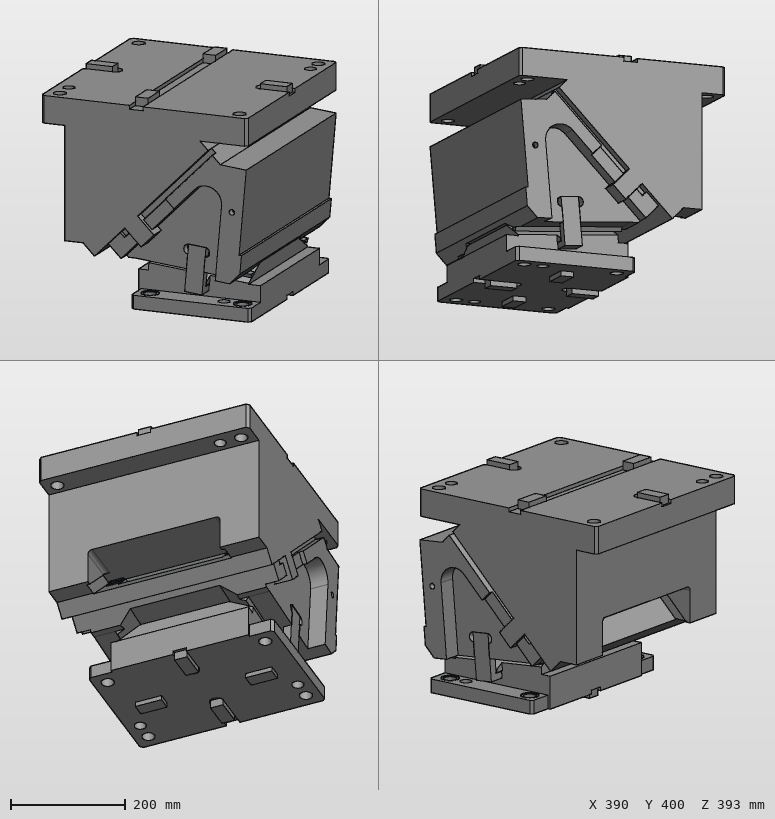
import cadquery as cq
import math


HALF_WIDTH = 200.0
FAR = 600.0

KEY_LENGTH = 50.0
KEY_WIDTH = 24.0
KEY_RISE = 9.0
SLOT_WIDTH = 25.5
SLOT_DEPTH = 7.0
CORNER_CHAMFER = 5.0
SCREW_HOLE = 23.0
DOWEL_HOLE = 21.0

HOLDER_TOP = 375.0
PLATE_THICKNESS = 50.0
PLATE_BOTTOM = HOLDER_TOP - PLATE_THICKNESS
PLATE_X_MIN = -180.0
PLATE_X_MAX = 210.0
PLATE_HOLE_INSET = 25.0
DOWEL_PITCHES = (40.0, 35.0)
END_KEY_INSET = 5.0
SIDE_KEY_INSET = 25.0
BLOCK_X_MIN = -135.5
BLOCK_BOTTOM = 116.5
WINDOW_HALF_WIDTH = 125.5
WINDOW_TOP = 183.5
WINDOW_CORNER = 8.0
WINDOW_WALL = 29.2
UNDERCUT_HEIGHT = 20.4
UNDERCUT_DEPTH = 5.6
RECESS_HALF_WIDTH = 98.5
RECESS_DEPTH = 13.0
RECESS_BOTTOM = 150.0
RECESS_TOP = 183.5
STEP_RISE = 2.0
STEP_INSET = 1.6
STEP_BOTTOMS = (160.0, 168.0)

HOOK_X = -21.8
HOOK_Z = 152.1
NOSE_START = -81.0
SLIDE_END = 223.0
HOOK_LENGTH = 34.4
HOOK_DEPTH = 43.7

SLIDER_START = -48.7
PAD_START = -16.5
PAD_THICKNESS = 11.0
PAD_HALF_WIDTH = 184.0
RAIL_DEPTH = 34.0
RAIL_END = 97.7
RAIL_HALF_WIDTH = 192.0
POCKET_FLOOR = 167.0
POCKET_RADIUS = 30.0
SIDE_HOLE = 10.0
SIDE_HOLE_DEPTH = 15.0

TILT = math.radians(5)
TILT_Z = 88.5
SLIDER_END_DEPTH = 33.0
SLIDER_U_MAX = 190.5
SLIDER_TOP_W = 211.0
TOE_U = 195.0
TOE_TOP_W = 55.0
TOE_BOTTOM_W = 21.5
CHAMFER_U = 177.5
POCKET_WALL_U = 150.0
SIDE_HOLE_U = 170.3
SIDE_HOLE_W = 129.5

RIDGE_SLOPE = math.tan(math.radians(30))
RIDGE_HALF_WIDTH = 131.0
RIDGE_TOP_HALF_WIDTH = 85.0
RIDGE_EDGE_W = -15.5
RIDGE_ROOT_W = -40.0
RIDGE_U_MIN = -4.0
RIDGE_U_MAX = 185.5
LINING_U_MIN = -15.0
LINING_U_MAX = 187.0
LINING_OUTER = 127.0
LINING_TIP = 122.5
RIDGE_CLEARANCE = 3.0

CLAMP_U = 97.5
CLAMP_WIDTH = 33.0
CLAMP_TOP_W = 45.0
CLAMP_BOTTOM_W = -42.0
CLAMP_OUTER = 166.0
CLAMP_THICKNESS = 15.0
FOOT_INNER = 135.5
FOOT_TOP_W = -30.0
CLAMP_SLOT_LENGTH = 49.0
CLAMP_SLOT_HEIGHT = 18.0
LUG_OUTER = 146.0
LUG_LENGTH = 30.0

BASE_X_MIN = -25.0
BASE_X_MAX = 206.0
BASE_LEFT_Z = 60.0
BASE_RIGHT_Z = 55.0
FLANGE_X_MIN = -20.0
FLANGE_HALF_WIDTH = 176.0
FLANGE_THICKNESS = 25.0
FLANGE_HOLE_Y = 150.0
FLANGE_SCREW_X = (5.0, 180.0)
FLANGE_DOWEL_X = 145.0
SPOTFACE = 32.0
SPOTFACE_DEPTH = 1.5
BASE_KEY_X = 90.0
BASE_END_KEYS_X = (5.0, 160.0)
BASE_SIDE_KEY_Y = 105.0

SLIDE_FRAME = cq.Plane(origin=(HOOK_X, 0, HOOK_Z), xDir=(1, 0, 1), normal=(0, -1, 0))
TILT_FRAME = cq.Plane(
    origin=(0, 0, TILT_Z), xDir=(math.cos(TILT), 0, -math.sin(TILT)), normal=(0, -1, 0)
)
RIDGE_FRAME = cq.Plane(
    origin=(0, 0, TILT_Z), xDir=(0, 1, 0), normal=(math.cos(TILT), 0, -math.sin(TILT))
)


def slide_point(along, depth):
    """World (x, z) of a point in the slide frame."""
    point = SLIDE_FRAME.toWorldCoords((along, -depth))
    return point.x, point.z


def tilt_point(u, w):
    """World (x, z) of a point in the tilted frame."""
    point = TILT_FRAME.toWorldCoords((u, w))
    return point.x, point.z


def frame_block(frame, x_range, y_range, width_range):
    """Block in a frame whose normal is -Y, spanning the given world Y range."""
    depth = width_range[1] - width_range[0]
    return (
        cq.Workplane(frame)
        .workplane(offset=-width_range[1])
        .moveTo(sum(x_range) / 2, sum(y_range) / 2)
        .rect(x_range[1] - x_range[0], y_range[1] - y_range[0])
        .extrude(depth)
    )


def slide_block(along_range, depth_range, width_range):
    return frame_block(SLIDE_FRAME, along_range, (-depth_range[1], -depth_range[0]), width_range)


def tilt_block(u_range, w_range, width_range):
    return frame_block(TILT_FRAME, u_range, w_range, width_range)


def symmetric(half_width):
    return (-half_width, half_width)


def both_sides(solid):
    """The solid together with its mirror image across Y = 0."""
    return solid.union(solid.mirror("XZ"))


def side_prism(points, half_width):
    """World XZ outline extruded equally to both sides of Y = 0."""
    return cq.Workplane("XZ").polyline(points).close().extrude(half_width, both=True)


def mounting_key(x, y, face_z, direction, along_y):
    """Key rising out of a mounting face; direction is +1 upwards, -1 downwards."""
    key = (
        cq.Workplane("XY")
        .rect(KEY_LENGTH, KEY_WIDTH)
        .extrude(KEY_RISE + SLOT_DEPTH)
        .translate((0, 0, -SLOT_DEPTH))
    )
    if along_y:
        key = key.rotate((0, 0, 0), (0, 0, 1), 90)
    if direction < 0:
        key = key.mirror("XY")
    return key.translate((x, y, face_z))


def end_slot(round_x, edge_x, bottom_z):
    """Key slot along X, rounded at round_x and open past edge_x."""
    length = abs(edge_x - round_x)
    run = (
        cq.Workplane("XY")
        .box(length, SLOT_WIDTH, SLOT_DEPTH, centered=(True, True, False))
        .translate(((round_x + edge_x) / 2, 0, bottom_z))
    )
    end = cq.Workplane("XY", origin=(round_x, 0, bottom_z)).circle(SLOT_WIDTH / 2).extrude(SLOT_DEPTH)
    return run.union(end)


def holes_down(points, diameter, top_z, depth):
    return (
        cq.Workplane("XY", origin=(0, 0, top_z)).pushPoints(points).circle(diameter / 2).extrude(-depth)
    )




def holder_plate():
    length = PLATE_X_MAX - PLATE_X_MIN
    return (
        cq.Workplane("XY")
        .box(length, 2 * HALF_WIDTH, PLATE_THICKNESS, centered=(False, True, False))
        .edges("|Z")
        .chamfer(CORNER_CHAMFER)
        .translate((PLATE_X_MIN, 0, PLATE_BOTTOM))
    )


def holder_block():
    nose_x, nose_z = slide_point(NOSE_START, 0)
    end_x, end_z = slide_point(SLIDE_END, 0)
    outline = [
        (BLOCK_X_MIN, PLATE_BOTTOM),
        (BLOCK_X_MIN, BLOCK_BOTTOM),
        (nose_x - (BLOCK_BOTTOM - nose_z), BLOCK_BOTTOM),
        (nose_x, nose_z),
        (end_x, end_z),
        (end_x - (PLATE_BOTTOM - end_z), PLATE_BOTTOM),
    ]
    return side_prism(outline, HALF_WIDTH)


def hook():
    """Hook standing out of the slide face, across the full width."""
    return slide_block((0, HOOK_LENGTH), (0, HOOK_DEPTH), symmetric(HALF_WIDTH))


def holder_window():
    """Recess from the left face to a sloping floor parallel to the slide plane."""
    opening = (
        cq.Workplane("YZ", origin=(BLOCK_X_MIN, 0, 0))
        .moveTo(0, (BLOCK_BOTTOM + WINDOW_TOP) / 2)
        .rect(2 * WINDOW_HALF_WIDTH, WINDOW_TOP - BLOCK_BOTTOM)
        .extrude(FAR)
        .edges("|X and >Z")
        .fillet(WINDOW_CORNER)
    )
    above_floor = slide_block(symmetric(FAR), (-FAR, -WINDOW_WALL), symmetric(HALF_WIDTH))
    return opening.intersect(above_floor)


def along_at_height(z, depth):
    """Slope position of the point at height z on a plane parallel to the slide plane."""
    return (z - HOOK_Z) * math.sqrt(2) + depth


def window_undercut():
    """Groove in both side walls of the window, along its floor."""
    width = symmetric(WINDOW_HALF_WIDTH + UNDERCUT_DEPTH)
    depth_range = (-WINDOW_WALL - UNDERCUT_HEIGHT, -WINDOW_WALL)
    strip = slide_block(symmetric(FAR), depth_range, width)
    below_top = cq.Workplane("XY").box(2 * FAR, 2 * FAR, WINDOW_TOP, centered=(True, True, False))
    return strip.intersect(below_top)


def window_recess():
    """Deeper middle part of the window floor."""
    floor_depth = RECESS_DEPTH - WINDOW_WALL
    return slide_block(
        (along_at_height(RECESS_BOTTOM, -WINDOW_WALL), along_at_height(RECESS_TOP, -WINDOW_WALL)),
        (-WINDOW_WALL, floor_depth),
        symmetric(RECESS_HALF_WIDTH),
    )


def window_steps():
    """Two steps rising from the floor on the +Y side of the recess, each set back from the last."""
    steps = None
    for number, bottom in enumerate(STEP_BOTTOMS, start=1):
        top_depth = -WINDOW_WALL - number * STEP_RISE
        step = slide_block(
            (along_at_height(bottom, -WINDOW_WALL), along_at_height(WINDOW_TOP, -WINDOW_WALL)),
            (top_depth, -WINDOW_WALL),
            (RECESS_HALF_WIDTH + number * STEP_INSET, WINDOW_HALF_WIDTH),
        )
        steps = step if steps is None else steps.union(step)
    return steps


def plate_holes():
    left = PLATE_X_MIN + PLATE_HOLE_INSET
    right = PLATE_X_MAX - PLATE_HOLE_INSET
    side = HALF_WIDTH - PLATE_HOLE_INSET
    screws = [(x, y) for x in (left, right) for y in (-side, side)]
    dowels = [(left, -side + DOWEL_PITCHES[0]), (right, side - DOWEL_PITCHES[1])]
    screw_holes = holes_down(screws, SCREW_HOLE, HOLDER_TOP, PLATE_THICKNESS)
    return screw_holes.union(holes_down(dowels, DOWEL_HOLE, HOLDER_TOP, PLATE_THICKNESS))


def make_holder():
    slot_z = HOLDER_TOP - SLOT_DEPTH
    body = holder_plate().union(holder_block()).union(hook())
    body = body.cut(holder_window()).cut(window_undercut()).cut(window_recess())
    body = body.union(both_sides(window_steps()))
    body = body.cut(plate_holes())
    long_slot = cq.Workplane("XY").box(
        SLOT_WIDTH, 2 * HALF_WIDTH, SLOT_DEPTH, centered=(True, True, False)
    )
    body = body.cut(long_slot.translate((0, 0, slot_z)))
    key_reach = END_KEY_INSET + KEY_LENGTH
    for edge_x, inward in ((PLATE_X_MIN, 1), (PLATE_X_MAX, -1)):
        body = body.cut(end_slot(edge_x + inward * key_reach, edge_x, slot_z))
        key_x = edge_x + inward * (END_KEY_INSET + KEY_LENGTH / 2)
        body = body.union(mounting_key(key_x, 0, HOLDER_TOP, 1, False))
    key_y = HALF_WIDTH - SIDE_KEY_INSET - KEY_LENGTH / 2
    for y in (-key_y, key_y):
        body = body.union(mounting_key(0, y, HOLDER_TOP, 1, True))
    return body




def ridge_height(y):
    """Height w of the sloped ridge face at a distance y from the middle."""
    return RIDGE_EDGE_W + (RIDGE_HALF_WIDTH - y) * RIDGE_SLOPE


def ridge(u_min, u_max, clearance=0.0):
    """Ridge prism; the clearance raises its sloped faces and its top."""
    edge = RIDGE_EDGE_W + clearance
    top = ridge_height(RIDGE_TOP_HALF_WIDTH) + clearance
    outline = [
        (-RIDGE_HALF_WIDTH, RIDGE_ROOT_W),
        (RIDGE_HALF_WIDTH, RIDGE_ROOT_W),
        (RIDGE_HALF_WIDTH, edge),
        (RIDGE_TOP_HALF_WIDTH, top),
        (-RIDGE_TOP_HALF_WIDTH, top),
        (-RIDGE_HALF_WIDTH, edge),
    ]
    return (
        cq.Workplane(RIDGE_FRAME).workplane(offset=u_min).polyline(outline).close().extrude(u_max - u_min)
    )


def base_block():
    outline = [
        (BASE_X_MIN, 0),
        (BASE_X_MAX, 0),
        (BASE_X_MAX, BASE_RIGHT_Z),
        (tilt_point(RIDGE_U_MAX, RIDGE_ROOT_W)[0], BASE_RIGHT_Z),
        (tilt_point(RIDGE_U_MIN, RIDGE_EDGE_W)[0], BASE_LEFT_Z),
        (BASE_X_MIN, BASE_LEFT_Z),
    ]
    return side_prism(outline, RIDGE_HALF_WIDTH)


def base_flange():
    flange = (
        cq.Workplane("XY")
        .box(
            BASE_X_MAX - FLANGE_X_MIN,
            2 * FLANGE_HALF_WIDTH,
            FLANGE_THICKNESS,
            centered=(False, True, False),
        )
        .edges("|Z")
        .chamfer(CORNER_CHAMFER)
        .translate((FLANGE_X_MIN, 0, 0))
    )
    sides = (-FLANGE_HOLE_Y, FLANGE_HOLE_Y)
    screws = [(x, y) for x in FLANGE_SCREW_X for y in sides]
    dowels = [(FLANGE_DOWEL_X, y) for y in sides]
    flange = flange.cut(holes_down(screws, SCREW_HOLE, FLANGE_THICKNESS, FLANGE_THICKNESS))
    flange = flange.cut(holes_down(screws, SPOTFACE, FLANGE_THICKNESS, SPOTFACE_DEPTH))
    return flange.cut(holes_down(dowels, DOWEL_HOLE, FLANGE_THICKNESS, FLANGE_THICKNESS))


def base_lug():
    """Lug under the clamp foot, with its top continuing the ridge slope."""
    outline = [
        (RIDGE_HALF_WIDTH, FOOT_TOP_W),
        (LUG_OUTER, FOOT_TOP_W),
        (LUG_OUTER, ridge_height(LUG_OUTER)),
        (RIDGE_HALF_WIDTH, RIDGE_EDGE_W),
    ]
    return (
        cq.Workplane(RIDGE_FRAME)
        .workplane(offset=CLAMP_U - LUG_LENGTH / 2)
        .polyline(outline)
        .close()
        .extrude(LUG_LENGTH)
    )


def make_base():
    body = base_block().union(base_flange()).union(ridge(RIDGE_U_MIN, RIDGE_U_MAX))
    body = body.union(both_sides(base_lug()))
    for key_x, edge_x in zip(BASE_END_KEYS_X, (BASE_X_MIN, BASE_X_MAX)):
        outward = math.copysign(1, edge_x - key_x)
        body = body.cut(end_slot(key_x - outward * KEY_LENGTH / 2, edge_x, 0))
        body = body.union(mounting_key(key_x, 0, 0, -1, False))
    for y in (-BASE_SIDE_KEY_Y, BASE_SIDE_KEY_Y):
        body = body.union(mounting_key(BASE_KEY_X, y, 0, -1, True))
    return body




def slider_blank():
    start_x, start_z = slide_point(SLIDER_START, 0)
    heel_x, heel_z = tilt_point(LINING_U_MIN, 0)
    outline = [
        (start_x, start_z),
        slide_point(SLIDE_END, 0),
        slide_point(SLIDE_END, SLIDER_END_DEPTH),
        tilt_point(SLIDER_U_MAX, SLIDER_TOP_W),
        tilt_point(SLIDER_U_MAX, TOE_TOP_W),
        tilt_point(TOE_U, TOE_TOP_W),
        tilt_point(TOE_U, TOE_BOTTOM_W),
        tilt_point(CHAMFER_U, 0),
        (heel_x, heel_z),
        (start_x + start_z - heel_z, heel_z),
    ]
    return side_prism(outline, HALF_WIDTH)


def side_pocket():
    """Pocket in one flank, between the rail above it and the wall on the right."""
    width = (POCKET_FLOOR, HALF_WIDTH)
    below_rail = slide_block(symmetric(FAR), (RAIL_DEPTH, FAR), width)
    left_of_wall = tilt_block((-FAR, POCKET_WALL_U), symmetric(FAR), width)
    pocket = below_rail.intersect(left_of_wall).edges("|Y and >Z").fillet(POCKET_RADIUS)
    return pocket.union(slide_block((-FAR, RAIL_END), (-FAR, RAIL_DEPTH), width))


def slide_rail():
    """Rail along the slide face, thinner beside the bearing pad."""
    width = symmetric(RAIL_HALF_WIDTH)
    rail = slide_block((SLIDER_START, RAIL_END), (PAD_THICKNESS, RAIL_DEPTH), width)
    return rail.union(slide_block((SLIDER_START, PAD_START), (0, RAIL_DEPTH), width))


def bearing_pad():
    return slide_block((PAD_START, SLIDE_END), (0, PAD_THICKNESS), symmetric(PAD_HALF_WIDTH))


def ridge_lining():
    """Lining just above the ridge, ended square to the ridge slope."""
    tip_w = ridge_height(LINING_TIP) + RIDGE_CLEARANCE
    outline = [
        (-LINING_OUTER, 0),
        (-LINING_TIP, tip_w),
        (LINING_TIP, tip_w),
        (LINING_OUTER, 0),
    ]
    return (
        cq.Workplane(RIDGE_FRAME)
        .workplane(offset=LINING_U_MIN)
        .polyline(outline)
        .close()
        .extrude(LINING_U_MAX - LINING_U_MIN)
    )


def clamp():
    u_range = (CLAMP_U - CLAMP_WIDTH / 2, CLAMP_U + CLAMP_WIDTH / 2)
    leg_inner = CLAMP_OUTER - CLAMP_THICKNESS
    leg = tilt_block(u_range, (CLAMP_BOTTOM_W, CLAMP_TOP_W), (leg_inner, CLAMP_OUTER))
    return leg.union(tilt_block(u_range, (CLAMP_BOTTOM_W, FOOT_TOP_W), (FOOT_INNER, CLAMP_OUTER)))


def clamp_seat():
    """Round-ended slot at the clamp's top and the shallow groove its leg lies in."""
    u_range = (CLAMP_U - CLAMP_WIDTH / 2, CLAMP_U + CLAMP_WIDTH / 2)
    groove = tilt_block(u_range, (CLAMP_BOTTOM_W, CLAMP_TOP_W), (CLAMP_OUTER, POCKET_FLOOR))
    slot = (
        cq.Workplane(TILT_FRAME)
        .workplane(offset=-POCKET_FLOOR)
        .moveTo(CLAMP_U, CLAMP_TOP_W - CLAMP_SLOT_HEIGHT / 2)
        .slot2D(CLAMP_SLOT_LENGTH, CLAMP_SLOT_HEIGHT)
        .extrude(POCKET_FLOOR - CLAMP_OUTER + CLAMP_THICKNESS)
    )
    return groove.union(slot)


def side_hole():
    return (
        cq.Workplane(TILT_FRAME)
        .workplane(offset=-HALF_WIDTH)
        .moveTo(SIDE_HOLE_U, SIDE_HOLE_W)
        .circle(SIDE_HOLE / 2)
        .extrude(SIDE_HOLE_DEPTH)
    )


def make_slider():
    body = slider_blank().cut(both_sides(side_pocket()))
    beside_pad = slide_block((PAD_START, FAR), (-FAR, PAD_THICKNESS), (PAD_HALF_WIDTH, HALF_WIDTH))
    body = body.cut(both_sides(beside_pad))
    body = body.union(slide_rail()).union(bearing_pad())
    body = body.cut(hook())
    body = body.union(ridge_lining()).cut(ridge(-FAR, FAR, RIDGE_CLEARANCE))
    body = body.cut(both_sides(clamp_seat().union(side_hole())))
    return body.union(both_sides(clamp()))


holder = make_holder()
slider = make_slider()
base = make_base()
result = cq.Compound.makeCompound([body.solids().val() for body in (holder, slider, base)])